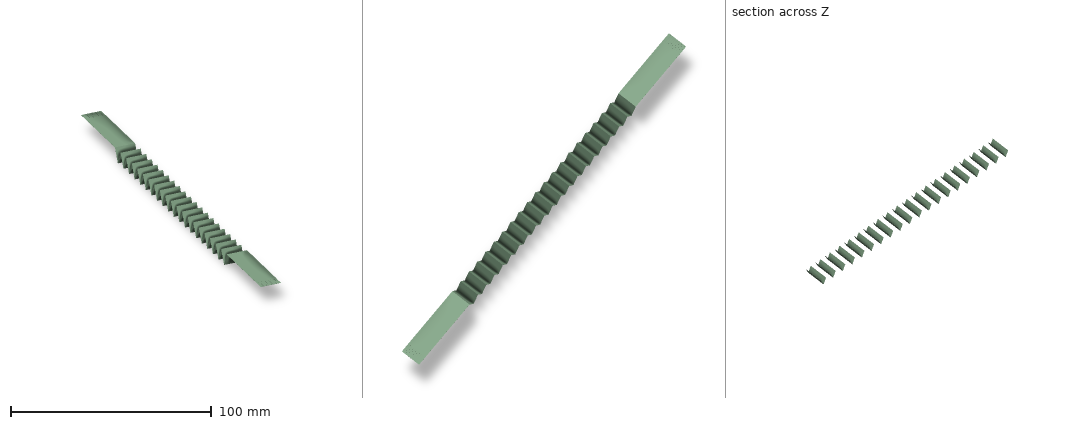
import cadquery as cq
import math

length = 212.0
width = 11.0
height = 7.5

film_thickness = 0.032
conductor_thickness = 0.08
cable_thickness = 2 * film_thickness + conductor_thickness

tab_length = 40.0
pleat_count = 20
pleated_length = length - 2 * tab_length
half_pitch = pleated_length / pleat_count / 2

stripped_length = 5.0

conductor_count = 10
conductor_pitch = width / (conductor_count + 1)
conductor_width = 0.7

slimness = 1 - (cable_thickness / half_pitch) ** 2
root_term = math.sqrt(height**2 - slimness * (height**2 - cable_thickness**2))
fold_depth = (height - root_term) / slimness
leg_angle = math.atan2(fold_depth, half_pitch)


def layer_line(depth, end_gap):
    """Zigzag line lying depth below the top face, ending end_gap short of both cable ends."""
    end_x = length / 2 - end_gap
    bend_x = pleated_length / 2 + depth * math.tan(leg_angle / 2)
    drop = depth / math.cos(leg_angle)
    points = [(-end_x, -depth), (-bend_x, -depth)]
    for fold in range(1, 2 * pleat_count):
        top_z = -fold_depth if fold % 2 else 0
        points.append((fold * half_pitch - pleated_length / 2, top_z - drop))
    points += [(bend_x, -depth), (end_x, -depth)]
    return points


def layer(top_depth, thickness, layer_width, end_gap=0, y=0):
    """Pleated ribbon of constant thickness centred on y."""
    top = layer_line(top_depth, end_gap)
    bottom = layer_line(top_depth + thickness, end_gap)
    return (
        cq.Workplane("XZ", origin=(0, y, 0))
        .polyline(top + bottom[::-1])
        .close()
        .extrude(layer_width / 2, both=True)
    )


top_film = layer(0, film_thickness, width, end_gap=stripped_length)
bottom_film = layer(film_thickness + conductor_thickness, film_thickness, width)

result = bottom_film
for index in range(conductor_count):
    conductor_y = (index - (conductor_count - 1) / 2) * conductor_pitch
    conductor = layer(film_thickness, conductor_thickness, conductor_width, y=conductor_y)
    result = result.union(conductor)
result = result.union(top_film)